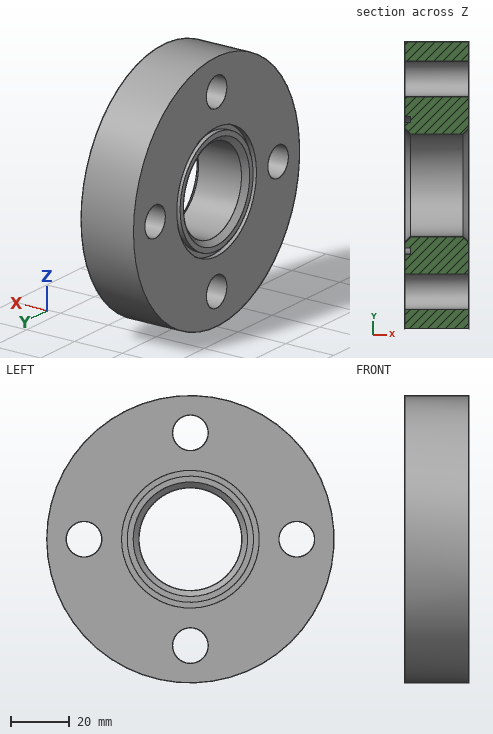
import cadquery as cq

outer_diameter = 98.0
thickness = 22.0

bore_diameter = 35.0
chamfer_diameter = 39.0
chamfer_size = (chamfer_diameter - bore_diameter) / 2

groove_outer_diameter = 46.9
groove_inner_diameter = 43.0
groove_depth = 2.0

bolt_hole_count = 4
bolt_hole_diameter = 12.1
bolt_circle_diameter = 72.5


def make_disc():
    """Disc with its -X face on the YZ plane and a chamfered central bore."""
    disc = cq.Workplane("YZ").circle(outer_diameter / 2).circle(bore_diameter / 2).extrude(thickness)
    bore_edges = cq.selectors.RadiusNthSelector(0)
    return disc.edges("%CIRCLE").edges(bore_edges).chamfer(chamfer_size)


def make_groove():
    """Ring of material to remove from the -X face."""
    ring = cq.Workplane("YZ").circle(groove_outer_diameter / 2).circle(groove_inner_diameter / 2)
    return ring.extrude(groove_depth)


def make_bolt_holes():
    """Through-hole cylinders spaced evenly on the bolt circle."""
    centres = cq.Workplane("YZ").polarArray(bolt_circle_diameter / 2, 0, 360, bolt_hole_count)
    return centres.circle(bolt_hole_diameter / 2).extrude(thickness)


result = make_disc().cut(make_groove()).cut(make_bolt_holes())